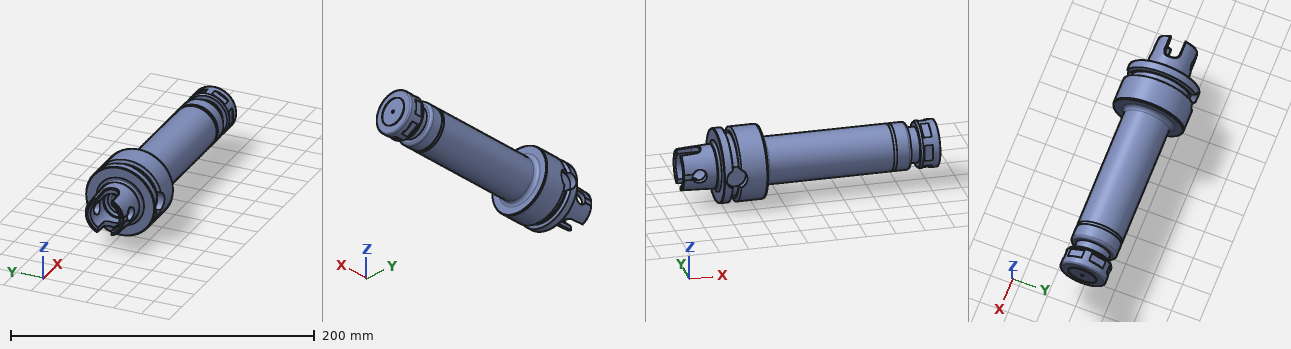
import cadquery as cq
import math

shank_length = 25.0
taper_slope = 0.05
taper_end_x = -2.4
taper_large_radius = 14.95
tail_radius = 13.3
tail_chamfer_length = 0.6
relief_depth = 0.35
relief_start_x = -1.6
relief_fillet = 1.2
face_ring_radius = 17.3
face_ring_depth = 0.1

mouth_radius = 12.0
mouth_chamfer_length = 0.9
bore_radius = 10.5
bore_end_x = -4.0
inner_bore_radius = 9.7
inner_bore_end_x = 2.0
tube_outer_radius = 8.4
tube_inner_radius = 6.4
tube_tip_x = -2.0
tube_floor_x = 6.0
coolant_counterbore_diameter = 5.2
coolant_chamfer = 1.0
coolant_counterbore_depth = 8.0
coolant_diameter = 2.0

slot_width = 10.0
slot_end_x = -10.9
slot_corner_radius = 4.0
slot_edge_chamfer = 0.8
cross_hole_diameter = 9.5
cross_hole_x = -14.0
key_groove_width = 3.8
key_groove_floor = 13.7

flange_radius = 25.0
flange_length = 30.0
flange_front_chamfer = 0.5
flange_rear_chamfer_length = 1.0
flange_rear_chamfer_depth = 0.4
gripper_start_x = 5.8
gripper_end_x = 11.8
gripper_floor_radius = 21.0
gripper_slope_length = 1.0
gripper_slope_depth = 2.5
index_hole_diameter = 14.0
index_hole_x = 8.7
index_hole_floor = 19.8

body_radius = 16.0
body_end_x = 130.0
body_root_fillet = 3.0
body_end_fillet = 2.0
band_start_x = 117.8
band_end_x = 119.8
band_depth = 0.25
neck_radius = 12.0

nut_radius = 16.0
nut_start_x = 136.2
nut_end_x = 149.45
nut_rear_chamfer = 1.5
nut_rear_chamfer_depth = 1.0
nut_front_fillet = 1.0
collet_radius = 10.0
collet_end_x = 150.0
flat_count = 6
flat_distance = 15.0
flat_start_x = 138.8
flat_end_x = 144.2
flat_runout = 0.6

DIAGONAL = math.sqrt(0.5)


def arc_to(profile, start, end, center, radius):
    """Add a quarter-circle arc through the point midway between start and end."""
    toward_x = math.copysign(DIAGONAL, start[0] + end[0] - 2 * center[0])
    toward_r = math.copysign(DIAGONAL, start[1] + end[1] - 2 * center[1])
    middle = (center[0] + radius * toward_x, center[1] + radius * toward_r)
    return profile.threePointArc(middle, end)


def revolve_about_x(profile):
    return profile.close().revolve(360, (0, 0, 0), (1, 0, 0))


def taper_radius_at(x):
    return taper_large_radius - taper_slope * (taper_end_x - x)


def make_shank():
    taper_small_radius = taper_radius_at(-shank_length)
    relief_radius = taper_large_radius - relief_depth
    fillet_start = (face_ring_depth - relief_fillet, relief_radius)
    fillet_end = (face_ring_depth, relief_radius + relief_fillet)
    fillet_center = (fillet_start[0], fillet_end[1])
    profile = (
        cq.Workplane("XY")
        .moveTo(-shank_length, 0)
        .lineTo(-shank_length, taper_small_radius)
        .lineTo(taper_end_x, taper_large_radius)
        .lineTo(relief_start_x, relief_radius)
        .lineTo(*fillet_start)
    )
    profile = arc_to(profile, fillet_start, fillet_end, fillet_center, relief_fillet)
    profile = profile.lineTo(face_ring_depth, 0)
    shank = revolve_about_x(profile).cut(make_bore())
    return cut_drive_slots(shank).cut(make_tail_chamfer_cutter())


def make_tail_chamfer_cutter():
    """Ring that bevels the outer edge of the tail."""
    chamfer_end_x = -shank_length + tail_chamfer_length
    profile = (
        cq.Workplane("XY")
        .moveTo(-shank_length, tail_radius)
        .lineTo(chamfer_end_x, taper_radius_at(chamfer_end_x))
        .lineTo(chamfer_end_x, body_radius)
        .lineTo(-shank_length, body_radius)
    )
    return revolve_about_x(profile)


def make_bore():
    """Stepped bore around a round-rimmed coolant tube, with the coolant channel behind."""
    rim_radius = (tube_outer_radius - tube_inner_radius) / 2
    rim_start_x = tube_tip_x + rim_radius
    rim_tip = (tube_tip_x, tube_inner_radius + rim_radius)
    counterbore_radius = coolant_counterbore_diameter / 2
    counterbore_end_x = tube_floor_x + coolant_counterbore_depth
    coolant_radius = coolant_diameter / 2
    profile = (
        cq.Workplane("XY")
        .moveTo(-shank_length, 0)
        .lineTo(-shank_length, mouth_radius)
        .lineTo(-shank_length + mouth_chamfer_length, bore_radius)
        .lineTo(bore_end_x, bore_radius)
        .lineTo(bore_end_x, inner_bore_radius)
        .lineTo(inner_bore_end_x, inner_bore_radius)
        .lineTo(inner_bore_end_x, tube_outer_radius)
        .lineTo(rim_start_x, tube_outer_radius)
        .threePointArc(rim_tip, (rim_start_x, tube_inner_radius))
        .lineTo(tube_floor_x, tube_inner_radius)
        .lineTo(tube_floor_x, counterbore_radius + coolant_chamfer)
        .lineTo(tube_floor_x + coolant_chamfer, counterbore_radius)
        .lineTo(counterbore_end_x, counterbore_radius)
        .lineTo(counterbore_end_x, coolant_radius)
        .lineTo(collet_end_x, coolant_radius)
        .lineTo(collet_end_x, 0)
    )
    return revolve_about_x(profile)


def is_outer_slot_edge(edge):
    """True for the slot edges along the outside of the shank."""
    tolerance = 0.01
    middle = edge.positionAt(0.5)
    in_length = -shank_length + tolerance < middle.x < slot_end_x + tolerance
    in_width = abs(middle.y) < slot_width / 2 + tolerance
    outside = math.hypot(middle.y, middle.z) > tail_radius
    return in_length and in_width and outside


def cut_drive_slots(shank):
    """Cut the open-ended slot through both walls and break its outer edges."""
    slot_length = 2 * (shank_length + slot_end_x)
    slot = (
        cq.Workplane("XY")
        .center(-shank_length, 0)
        .rect(slot_length, slot_width)
        .extrude(2 * flange_radius, both=True)
        .edges("|Z and >X")
        .fillet(slot_corner_radius)
    )
    shank = shank.cut(slot)
    edges = [edge for edge in shank.edges().vals() if is_outer_slot_edge(edge)]
    return shank.newObject(edges).chamfer(slot_edge_chamfer)


def make_flange_and_body():
    front_slope_end = gripper_start_x + gripper_slope_length
    rear_slope_end = gripper_end_x - gripper_slope_length
    slope_radius = flange_radius - gripper_slope_depth
    root_start = (flange_length, body_radius + body_root_fillet)
    root_end = (flange_length + body_root_fillet, body_radius)
    root_center = (root_end[0], root_start[1])
    end_start = (body_end_x - body_end_fillet, body_radius)
    end_end = (body_end_x, body_radius - body_end_fillet)
    end_center = (end_start[0], end_end[1])
    band_radius = body_radius - band_depth
    profile = (
        cq.Workplane("XY")
        .moveTo(face_ring_depth, 0)
        .lineTo(face_ring_depth, face_ring_radius)
        .lineTo(0, face_ring_radius)
        .lineTo(0, flange_radius - flange_front_chamfer)
        .lineTo(flange_front_chamfer, flange_radius)
        .lineTo(gripper_start_x, flange_radius)
        .lineTo(front_slope_end, slope_radius)
        .lineTo(front_slope_end, gripper_floor_radius)
        .lineTo(rear_slope_end, gripper_floor_radius)
        .lineTo(rear_slope_end, slope_radius)
        .lineTo(gripper_end_x, flange_radius)
        .lineTo(flange_length - flange_rear_chamfer_length, flange_radius)
        .lineTo(flange_length, flange_radius - flange_rear_chamfer_depth)
        .lineTo(*root_start)
    )
    profile = arc_to(profile, root_start, root_end, root_center, body_root_fillet)
    profile = (
        profile
        .lineTo(band_start_x, body_radius)
        .lineTo(band_start_x, band_radius)
        .lineTo(band_end_x, band_radius)
        .lineTo(band_end_x, body_radius)
        .lineTo(*end_start)
    )
    profile = arc_to(profile, end_start, end_end, end_center, body_end_fillet)
    profile = (
        profile
        .lineTo(body_end_x, neck_radius)
        .lineTo(nut_start_x, neck_radius)
        .lineTo(nut_start_x, 0)
    )
    return revolve_about_x(profile)


def make_nut():
    fillet_start = (nut_end_x - nut_front_fillet, nut_radius)
    fillet_end = (nut_end_x, nut_radius - nut_front_fillet)
    fillet_center = (fillet_start[0], fillet_end[1])
    profile = (
        cq.Workplane("XY")
        .moveTo(nut_start_x, 0)
        .lineTo(nut_start_x, nut_radius - nut_rear_chamfer_depth)
        .lineTo(nut_start_x + nut_rear_chamfer, nut_radius)
        .lineTo(*fillet_start)
    )
    profile = arc_to(profile, fillet_start, fillet_end, fillet_center, nut_front_fillet)
    profile = (
        profile
        .lineTo(nut_end_x, collet_radius)
        .lineTo(collet_end_x, collet_radius)
        .lineTo(collet_end_x, 0)
    )
    nut = revolve_about_x(profile)
    for index in range(flat_count):
        nut = nut.cut(make_flat_cutter(index * 360 / flat_count))
    return nut


def make_flat_cutter(angle):
    """Cutter for one spanner flat, with a sloped run-out towards the body."""
    return (
        cq.Workplane("XY")
        .moveTo(flat_start_x, flat_distance)
        .lineTo(flat_end_x, flat_distance)
        .lineTo(flat_end_x, nut_radius)
        .lineTo(flat_start_x - flat_runout, nut_radius)
        .close()
        .extrude(nut_radius / 2, both=True)
        .rotate((0, 0, 0), (1, 0, 0), angle)
    )


def cut_side_features(part):
    """Cross hole through the shank, plus a key groove and index hole on each side."""
    cross_hole = (
        cq.Workplane("XZ")
        .center(cross_hole_x, 0)
        .circle(cross_hole_diameter / 2)
        .extrude(flange_radius, both=True)
    )
    part = part.cut(cross_hole)
    for side in (-1, 1):
        key_groove = (
            cq.Workplane("XZ", origin=(0, side * key_groove_floor, 0))
            .center((cross_hole_x - shank_length) / 2, 0)
            .rect(shank_length + cross_hole_x, key_groove_width)
            .extrude(-side * flange_radius)
        )
        index_hole = (
            cq.Workplane("XZ", origin=(0, side * index_hole_floor, 0))
            .center(index_hole_x, 0)
            .circle(index_hole_diameter / 2)
            .extrude(-side * flange_radius)
        )
        part = part.cut(key_groove).cut(index_hole)
    return part


body = make_shank().union(make_flange_and_body()).union(make_nut()).cut(make_bore())
result = cut_side_features(body)